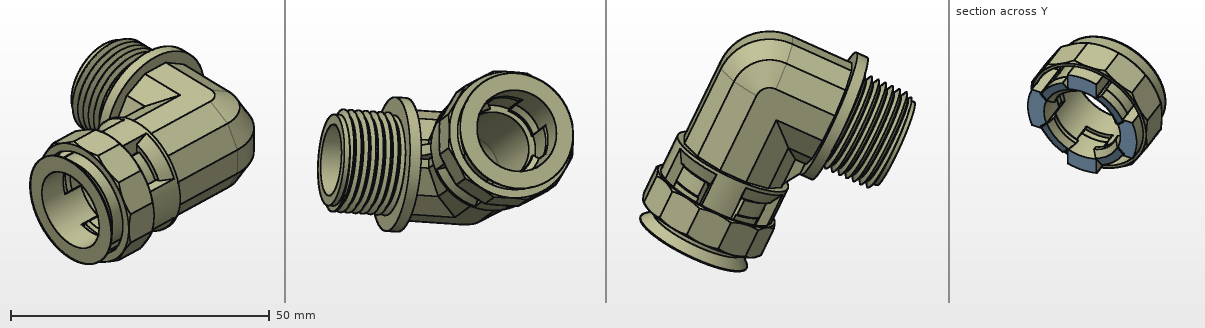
import cadquery as cq
import math


bore_radius = 6.9
elbow_half_width = 10.4
side_count = 12

thread_end_x = -27.0
thread_start_x = -25.95
thread_crest_radius = 10.0
thread_root_radius = 8.85
thread_pitch = 1.5
thread_sink = 0.1
thread_origin_x = -27.7
flange_radius = 13.0
flange_front_x = -15.0
flange_back_x = -12.7

cage_top_y = -16.65
cage_outer_radius = 11.9
cage_inner_radius = 9.95
window_top_y = -17.4
core_end_y = -20.05
core_end_radius = 10.5
vertical_post_half_width = 3.15
side_post_half_width = 4.65

rib_inner_radius = 8.25
rib_taper_y = -26.95
rib_taper = 0.65
rib_clearance = 0.1

gusset_thickness = 2.1

sleeve_bore_radius = 8.05
sleeve_neck_radius = 9.6
flare_start_y = -32.6
flare_radius = 11.45
flare_lip = 0.2
sleeve_end_y = -34.7
finger_tip_y = -20.35
finger_radius = 9.87
finger_width = 6.7
finger_pad_end_y = -23.6
tip_inner_radius = 9.3
tooth_radius = 6.95
tooth_ramp_start_y = -24.7
slot_end_y = -29.0

nut_top_y = -24.25
nut_end_y = -31.0
nut_half_width = 12.55
nut_bore_radius = 10.88
nut_chamfer = 0.5


def corner_radius(half_width):
    """Corner radius of the regular polygon with the given distance from centre to flat."""
    return half_width / math.cos(math.pi / side_count)


def polygon_points(half_width):
    """Corners of the polygon, with a flat at the top and one at each side."""
    radius = corner_radius(half_width)
    step = 2 * math.pi / side_count
    return [
        (radius * math.cos((i + 0.5) * step), radius * math.sin((i + 0.5) * step))
        for i in range(side_count)
    ]


def prism_along_x(half_width, start_x, end_x):
    plane = cq.Workplane("YZ", origin=(start_x, 0, 0))
    return plane.polyline(polygon_points(half_width)).close().extrude(end_x - start_x)


def prism_along_y(half_width, start_y, end_y):
    plane = cq.Workplane("XZ", origin=(0, start_y, 0))
    return plane.polyline(polygon_points(half_width)).close().extrude(start_y - end_y)


def cylinder_along_x(radius, start_x, end_x):
    """Cylinder whose seam lies on the -Y side, clear of the start of the thread helix."""
    plane = cq.Plane(origin=(start_x, 0, 0), xDir=(0, -1, 0), normal=(1, 0, 0))
    return cq.Workplane(plane).circle(radius).extrude(end_x - start_x)


def cylinder_along_y(radius, start_y, end_y):
    return cq.Workplane("XZ", origin=(0, start_y, 0)).circle(radius).extrude(start_y - end_y)


def revolve_about_y(points):
    """Turn an outline of (radius, y) points about the Y axis."""
    return cq.Workplane("XY").polyline(points).close().revolve(360, (0, 0, 0), (0, 1, 0))


def box_between(x_range, y_range, z_range):
    size = [high - low for low, high in (x_range, y_range, z_range)]
    corner = (x_range[0], y_range[0], z_range[0])
    return cq.Workplane("XY").box(*size, centered=False).translate(corner)


def make_thread_ridge():
    """Helical ridge with 60 degree flanks, cut square at its free end."""
    base_radius = thread_root_radius - thread_sink
    half_base = (thread_crest_radius - base_radius) * math.tan(math.radians(30))
    length = flange_front_x + half_base - thread_origin_x
    path = cq.Workplane(cq.Wire.makeHelix(thread_pitch, length, base_radius, lefthand=True))
    ridge = (
        cq.Workplane("XZ")
        .polyline([(base_radius, -half_base), (thread_crest_radius, 0), (base_radius, half_base)])
        .close()
        .sweep(path, isFrenet=True)
        .rotate((0, 0, 0), (0, 1, 0), 90)
        .rotate((0, 0, 0), (1, 0, 0), 90)
        .translate((thread_origin_x, 0, 0))
    )
    return ridge.intersect(cylinder_along_x(flange_radius, thread_start_x, flange_front_x))


def make_bend():
    """Outside of the corner: half the elbow section turned a quarter about Z."""
    half = [(y, z) for y, z in polygon_points(elbow_half_width) if y > 0]
    half = [(0, -elbow_half_width)] + sorted(half, key=lambda p: p[1]) + [(0, elbow_half_width)]
    return cq.Workplane("XZ").polyline(half).close().revolve(90, (0, 0, 0), (0, 1, 0))


def make_gusset():
    """Thin web in the inside corner, from the flange rim to the cage."""
    outline = [
        (flange_back_x, -flange_radius),
        (-elbow_half_width, cage_top_y),
        (-bore_radius - 0.95, cage_top_y),
        (-bore_radius - 0.95, -bore_radius - 0.95),
        (flange_back_x, -bore_radius - 0.95),
    ]
    web = cq.Workplane("XY").polyline(outline).close().extrude(gusset_thickness / 2, both=True)
    return web


def make_cage():
    """Ring and tapered core at the top, with four posts reaching into the nut."""
    core = revolve_about_y([
        (0, cage_top_y),
        (cage_outer_radius, cage_top_y),
        (cage_outer_radius, window_top_y),
        (core_end_radius, core_end_y),
        (0, core_end_y),
    ])
    tube = cylinder_along_y(cage_outer_radius, window_top_y, slot_end_y)
    tube = tube.cut(cylinder_along_y(cage_inner_radius, window_top_y, slot_end_y))
    tube = tube.union(make_guide_ribs())
    reach = 2 * cage_outer_radius
    y_range = (slot_end_y, window_top_y)
    vertical = box_between(
        (-vertical_post_half_width, vertical_post_half_width), y_range, (-reach, reach))
    sideways = box_between(
        (-reach, reach), y_range, (-side_post_half_width, side_post_half_width))
    return core.union(tube.intersect(vertical.union(sideways)))


def finger_bars(width, end_y, tip_y):
    """Two crossed bars on the diagonals, which hold the four fingers."""
    half_width = width / 2
    reach = flare_radius
    bar = box_between((-reach, reach), (end_y, tip_y), (-half_width, half_width))
    return bar.rotate((0, 0, 0), (0, 1, 0), 45).union(bar.rotate((0, 0, 0), (0, 1, 0), 135))


def make_guide_ribs():
    """Ribs on the inside of the posts that fill the slots between the fingers."""
    middle_radius = (cage_inner_radius + cage_outer_radius) / 2
    low_radius = rib_inner_radius + rib_taper
    ribs = revolve_about_y([
        (middle_radius, core_end_y),
        (rib_inner_radius, core_end_y),
        (rib_inner_radius, rib_taper_y),
        (low_radius, rib_taper_y - rib_taper),
        (low_radius, slot_end_y),
        (middle_radius, slot_end_y),
    ])
    return ribs.cut(finger_bars(finger_width + 2 * rib_clearance, slot_end_y, core_end_y))


def make_thread_end():
    """Flange and externally threaded tube."""
    flange = cylinder_along_x(flange_radius, flange_front_x, flange_back_x)
    rod = cylinder_along_x(thread_root_radius, thread_end_x, flange_front_x)
    return rod.union(flange).union(make_thread_ridge())


def make_elbow():
    elbow = prism_along_x(elbow_half_width, flange_back_x, 0)
    elbow = elbow.union(prism_along_y(elbow_half_width, 0, cage_top_y))
    elbow = elbow.union(make_bend())
    elbow = elbow.union(make_gusset())
    elbow = elbow.union(make_cage())
    elbow = elbow.union(make_thread_end())
    elbow = elbow.cut(cylinder_along_x(bore_radius, thread_end_x, 0))
    elbow = elbow.cut(cylinder_along_y(bore_radius, 0, core_end_y))
    return elbow.cut(cq.Workplane("XY").sphere(bore_radius))


def make_nut():
    nut = prism_along_y(nut_half_width, nut_top_y, nut_end_y)
    tip = corner_radius(nut_half_width)
    face_radius = tip - nut_chamfer
    nut = nut.intersect(revolve_about_y([
        (0, nut_top_y),
        (face_radius, nut_top_y),
        (tip, nut_top_y - nut_chamfer),
        (tip, nut_end_y + nut_chamfer),
        (face_radius, nut_end_y),
        (0, nut_end_y),
    ]))
    nut = nut.cut(cylinder_along_y(cage_outer_radius, nut_top_y, slot_end_y))
    return nut.cut(cylinder_along_y(nut_bore_radius, nut_top_y, nut_end_y))


def make_sleeve():
    """Flared sleeve whose inner end is split into four fingers with inward teeth."""
    tooth_height = sleeve_bore_radius - tooth_radius
    pad_step = finger_radius - sleeve_neck_radius
    body = revolve_about_y([
        (sleeve_bore_radius, sleeve_end_y),
        (flare_radius, sleeve_end_y),
        (flare_radius, sleeve_end_y + flare_lip),
        (sleeve_neck_radius, flare_start_y),
        (sleeve_neck_radius, finger_pad_end_y - pad_step),
        (finger_radius, finger_pad_end_y),
        (finger_radius, finger_tip_y),
        (tip_inner_radius, finger_tip_y),
        (tooth_radius, finger_tip_y - (tip_inner_radius - tooth_radius)),
        (tooth_radius, tooth_ramp_start_y + tooth_height),
        (sleeve_bore_radius, tooth_ramp_start_y),
    ])
    kept = cylinder_along_y(2 * flare_radius, slot_end_y, sleeve_end_y)
    kept = kept.union(finger_bars(finger_width, slot_end_y, finger_tip_y))
    return body.intersect(kept)


elbow = make_elbow()
nut = make_nut()
sleeve = make_sleeve()

result = cq.Compound.makeCompound([elbow.val(), nut.val(), sleeve.val()])